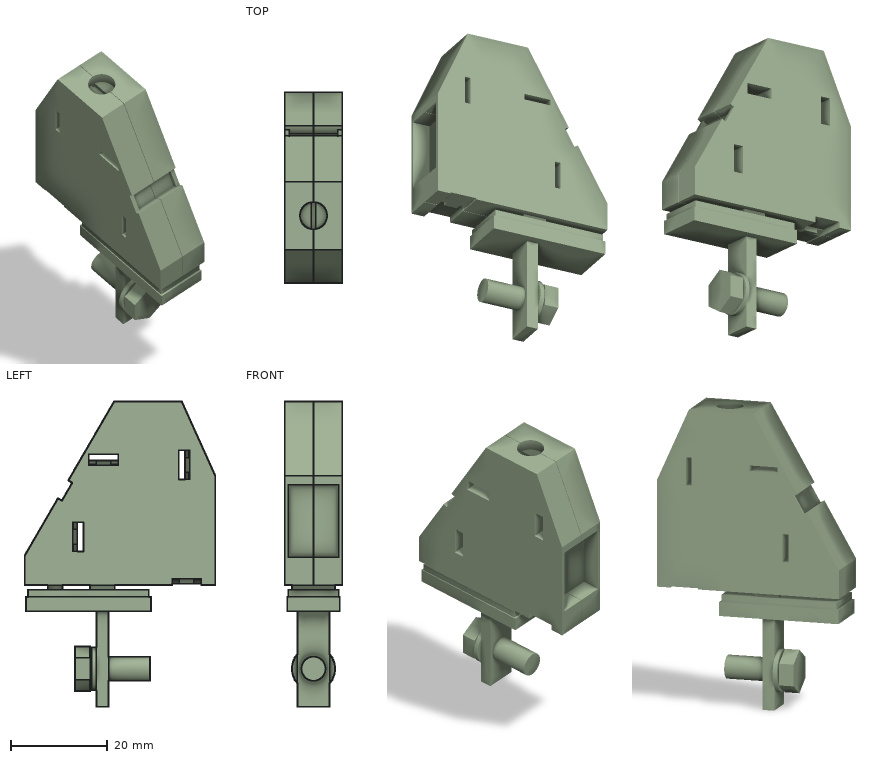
import cadquery as cq
import math

housing_width = 12.0
half_width = housing_width / 2
housing_bottom = 25.35
housing_top = 63.5
housing_depth = 39.7
front_edge_height = 48.0
back_edge_height = 31.45
roof_front = 7.0
roof_back = 21.1
parting_gap = 0.1

back_slope = math.atan2(housing_top - back_edge_height, housing_depth - roof_back)
notch_length = 4.25
notch_depth = 0.95
notch_start = 19.0
recess_depth = 2.0
recess_width = 10.15

pocket_width = 10.55
pocket_bottom = 31.1
pocket_top = 46.2
pocket_depth = 3.9

window_length = 6.05
window_height = 2.3
catch_height = 1.0
catch_block_length = 3.05
catch_lip = 0.2
catch_ramp_length = 1.3
snap_windows = [
    (23.27, 50.2, 90),
    (5.35, 50.3, 0),
    (29.7, 35.4, 180),
    (6.0, 26.6, 270),
]

screw_hole_diameter = 5.65
screw_head_diameter = 7.0
roof_thickness = 0.7
screw_y = (roof_front + roof_back) / 2
screw_recess = 2.4
screw_top = housing_top - screw_recess
screw_rim = housing_top - roof_thickness
screw_length = 3.2
screw_bottom = screw_top - screw_length
slot_width = 0.95
slot_depth = 0.95

bar_y = 23.5
bar_width = 6.65
bar_thickness = 2.55
plate_y = 26.4
lower_plate_width = 10.9
lower_plate_length = 26.05
lower_plate_bottom = 19.9
upper_plate_width = 10.55
upper_plate_length = 25.15
upper_plate_bottom = 22.85
upper_plate_top = 24.4
post_width = 9.0
post_thickness = 5.2
pin_diameter = 3.1
pin_y = 33.35

bolt_z = 7.95
shank_diameter = 5.0
shank_end = 13.6
washer_diameter = 9.0
washer_thickness = 0.95
neck_length = 0.3
head_thickness = 3.2
head_side = 4.65
corner_up_angle = 30


def block(width, y_min, y_max, z_min, z_max):
    """Box centred on X = 0."""
    return cq.Workplane("XY").box(
        width, y_max - y_min, z_max - z_min, centered=(True, False, False)
    ).translate((0, y_min, z_min))


def rod_along_y(diameter, y_min, y_max):
    """Cylinder along Y on the bolt axis."""
    return (
        cq.Workplane("XZ", origin=(0, y_min, bolt_z))
        .circle(diameter / 2)
        .extrude(y_min - y_max)
    )


def upright_cylinder(diameter, y, z_min, z_max):
    """Cylinder along Z, centred on X = 0."""
    return (
        cq.Workplane("XY", origin=(0, y, z_min))
        .circle(diameter / 2)
        .extrude(z_max - z_min)
    )


def slope_cut(width, depth):
    """Block of the notch length, sunk into the back slope by the given depth."""
    cut = cq.Workplane("XY").box(width, notch_length, 2 * depth, centered=(True, False, True))
    cut = cut.translate((0, notch_start, 0))
    cut = cut.rotate((0, 0, 0), (1, 0, 0), -math.degrees(back_slope))
    return cut.translate((0, roof_back, housing_top))


def place_snap(shape, y, z, angle):
    """Turn a snap shape about X and move it to its place."""
    return shape.rotate((0, 0, 0), (1, 0, 0), angle).translate((0, y, z))


def snap_window():
    """Rectangular opening through the full housing width, rising along +Y from its edge."""
    return cq.Workplane("XY").box(
        housing_width, window_height, window_length, centered=(True, False, True)
    )


def snap_catch():
    """Ledge with a sloped lead-in and a square block in its middle."""
    ledge = (
        cq.Workplane("XY")
        .polyline([
            (parting_gap / 2, 0),
            (half_width, 0),
            (half_width, catch_height),
            (parting_gap / 2 + catch_ramp_length, catch_height),
            (parting_gap / 2, catch_lip),
        ])
        .close()
        .extrude(window_length / 2, both=True)
    )
    middle = cq.Workplane("XY").box(
        half_width - parting_gap / 2, catch_height, catch_block_length, centered=(False, False, True)
    ).translate((parting_gap / 2, 0, 0))
    return ledge.union(middle)


def make_housing():
    """Whole housing before it is split into two halves."""
    body = (
        cq.Workplane("YZ")
        .polyline([
            (0, housing_bottom),
            (housing_depth, housing_bottom),
            (housing_depth, back_edge_height),
            (roof_back, housing_top),
            (roof_front, housing_top),
            (0, front_edge_height),
        ])
        .close()
        .extrude(half_width, both=True)
    )
    body = body.cut(slope_cut(housing_width, notch_depth))
    body = body.cut(slope_cut(recess_width, recess_depth))
    body = body.cut(block(pocket_width, 0, pocket_depth, pocket_bottom, pocket_top))
    body = body.cut(upright_cylinder(screw_hole_diameter, screw_y, screw_top, housing_top))
    body = body.cut(upright_cylinder(screw_head_diameter, screw_y, screw_bottom, screw_rim))
    for y, z, angle in snap_windows:
        body = body.cut(place_snap(snap_window(), y, z, angle))
    return body


def make_half(side):
    """Half of the housing on the +X (side = 1) or -X (side = -1) side of the parting gap."""
    keep = cq.Workplane("XY").box(
        half_width, housing_depth, housing_top, centered=(False, False, False)
    ).translate((parting_gap / 2, 0, 0))
    if side < 0:
        keep = keep.mirror("YZ")
    return make_housing().intersect(keep)


def make_plain_half():
    return make_half(-1)


def make_catch_half():
    half = make_half(1)
    for y, z, angle in snap_windows:
        half = half.union(place_snap(snap_catch(), y, z, angle))
    return half


def make_screw():
    """Slotted screw with a cupped head, held under the housing roof."""
    screw = upright_cylinder(screw_head_diameter, screw_y, screw_bottom, screw_rim)
    screw = screw.cut(upright_cylinder(screw_hole_diameter, screw_y, screw_top, screw_rim))
    slot = block(
        slot_width, screw_y - screw_hole_diameter / 2, screw_y + screw_hole_diameter / 2,
        screw_top - slot_depth, screw_top,
    )
    return screw.cut(slot)


def make_base():
    """Stepped plate with a post and a locating pin on top and a drilled bar below."""
    def plate(width, length, z_min, z_max):
        return block(width, plate_y - length / 2, plate_y + length / 2, z_min, z_max)

    def upright(width, thickness, z_min, z_max):
        return block(width, bar_y - thickness / 2, bar_y + thickness / 2, z_min, z_max)

    base = plate(lower_plate_width, lower_plate_length, lower_plate_bottom, upper_plate_bottom)
    base = base.union(plate(upper_plate_width, upper_plate_length, upper_plate_bottom, upper_plate_top))
    base = base.union(upright(post_width, post_thickness, upper_plate_top, housing_bottom))
    pin = upright_cylinder(pin_diameter, pin_y, upper_plate_top, housing_bottom)
    base = base.union(pin)
    base = base.union(upright(bar_width, bar_thickness, 0, lower_plate_bottom))
    hole = rod_along_y(shank_diameter, bar_y - bar_thickness, bar_y + bar_thickness)
    return base.cut(hole)


def make_bolt():
    """Hexagon bolt with a captive washer against the back of the bar."""
    washer_start = bar_y + bar_thickness / 2
    washer_end = washer_start + washer_thickness
    head_start = washer_end + neck_length
    bolt = rod_along_y(shank_diameter, shank_end, head_start)
    bolt = bolt.union(rod_along_y(washer_diameter, washer_start, washer_end))
    head = (
        cq.Workplane("XZ", origin=(0, head_start, bolt_z))
        .polygon(6, 2 * head_side)
        .extrude(-head_thickness)
        .rotate((0, 0, bolt_z), (0, 1, bolt_z), corner_up_angle)
    )
    return bolt.union(head)


result = cq.Compound.makeCompound([
    make_plain_half().val(),
    make_catch_half().val(),
    make_screw().val(),
    make_base().val(),
    make_bolt().val(),
])